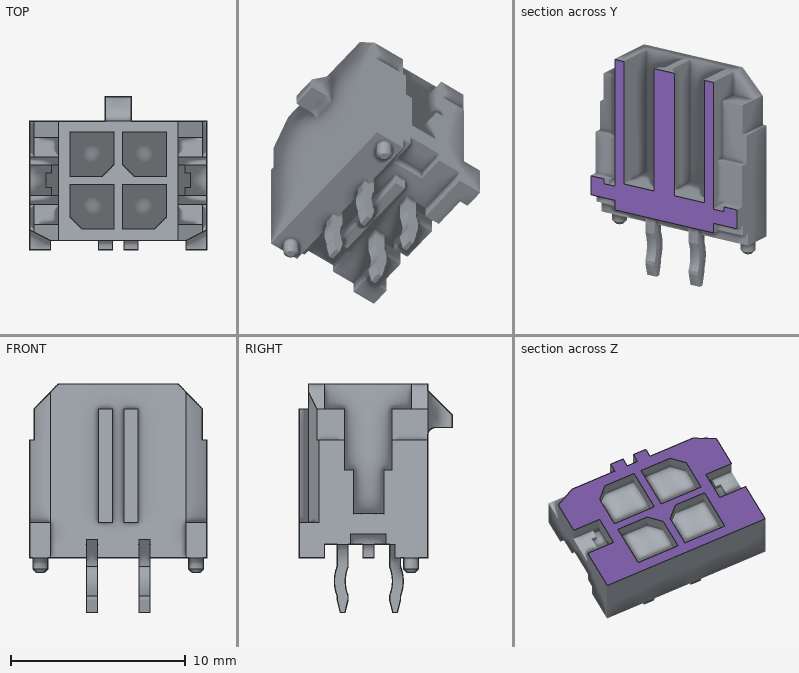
import cadquery as cq
import math


core_size = 6.84
height = 9.95
overall_width = 10.15
shoulder_width = 9.62
shoulder_height = 6.75
ear_height = 8.52
ear_bevel_depth = 0.935
half_core = core_size / 2
half_width = overall_width / 2
half_shoulder = shoulder_width / 2

bevel_start_x = 3.87
bevel_depth = 0.62
foot_height = 2.02
front_reach = 0.53

key_rib_inner = 0.32
key_rib_width = 0.82

latch_width = 1.49
latch_reach = 1.40
latch_tip_top = 8.17
latch_underside = 7.44
latch_root_radius = 0.42

pitch = 3.0
cavity_shift = 0.02
cavity_size = 2.53
cavity_bevel = 0.68
cavity_floor = 2.5

slot_half_width = 1.365
slot_ledge = 5.03
slot_lower_width = 1.74
slot_shift = 0.04
slot_floor = 2.525
pocket_depth = 0.29
pocket_reach = 0.40
pocket_tab_reach = 0.72
pocket_tab_width = 0.82

channel_back = 1.536
channel_front = -2.483
channel_height = 0.764
recess_half_width = 1.015
recess_height = 1.346
rib_length = 5.5
rib_width = 0.64
rib_shift = 0.02

leg_width = 0.65
leg_thickness = 0.635
leg_top = 1.03
leg_shift = 0.04
bow_top = -0.50
bow_bottom = -2.18
bow_height = 0.16
taper_top = -2.40
tip_z = -3.14
tip_thickness = 0.27

peg_x = 4.455
peg_y = 2.456
peg_radius = 0.43
peg_length = 0.85
peg_chamfer = 0.21


def box(x_range, y_range, z_range):
    """Box between the given pairs of limits."""
    (x0, x1), (y0, y1), (z0, z1) = x_range, y_range, z_range
    return cq.Workplane("XY").box(x1 - x0, y1 - y0, z1 - z0, centered=False).translate((x0, y0, z0))


def centred(middle, width):
    """Limits of a span of the given width about its middle."""
    return (middle - width / 2, middle + width / 2)


def both_sides(shape):
    """The +X shape together with its mirror image on -X."""
    return shape.union(shape.mirror("YZ"))


def make_housing():
    """Stepped outline with gusset slopes at the top and bevelled front corners."""
    outline = [
        (half_width, 0),
        (half_width, shoulder_height),
        (half_shoulder, shoulder_height),
        (half_shoulder, ear_height),
        (half_core, height),
    ]
    mirrored = [(-x, z) for x, z in reversed(outline)]
    housing = cq.Workplane("XZ").polyline(outline + mirrored).close().extrude(half_core, both=True)

    bevel = (
        cq.Workplane("XY")
        .moveTo(bevel_start_x, -half_core)
        .lineTo(half_width, -half_core)
        .lineTo(half_width, bevel_depth - half_core)
        .close()
        .extrude(height)
    )
    return housing.cut(both_sides(bevel))


def make_side_slot():
    """Everything removed from the outside of the +X side wall."""
    outside = (half_core, half_width)
    gusset_inner = half_core - ear_bevel_depth
    slot = box(outside, (-gusset_inner, gusset_inner), (ear_height, height))
    slot = slot.union(box(outside, (-slot_half_width, slot_half_width), (slot_ledge, height)))
    slot = slot.union(box(outside, centred(slot_shift, slot_lower_width), (slot_floor, height)))

    pocket_z = (slot_floor - pocket_depth, slot_floor)
    pocket_x = (half_core, half_core + pocket_reach)
    tab_x = (half_core, half_core + pocket_tab_reach)
    slot = slot.union(box(pocket_x, centred(slot_shift, slot_lower_width), pocket_z))
    return slot.union(box(tab_x, centred(slot_shift, pocket_tab_width), pocket_z))


def make_foot():
    """Square corner foot in front of the +X side wall."""
    foot_y = (-half_core - front_reach, bevel_depth - half_core)
    return box((bevel_start_x, half_width), foot_y, (0, foot_height))


def make_key_rib():
    """Key rib on the +X half of the front face."""
    rib_x = (key_rib_inner, key_rib_inner + key_rib_width)
    return box(rib_x, (-half_core - front_reach, -half_core), (foot_height, ear_height))


def make_latch():
    """Latch ramp with a 45 degree top and a filleted root underneath."""
    tip_y = half_core + latch_reach
    fillet_mid = latch_root_radius * (1 - math.sqrt(0.5))
    return (
        cq.Workplane("YZ")
        .moveTo(half_core, latch_tip_top + latch_reach)
        .lineTo(tip_y, latch_tip_top)
        .lineTo(tip_y, latch_underside)
        .lineTo(half_core + latch_root_radius, latch_underside)
        .threePointArc(
            (half_core + fillet_mid, latch_underside - fillet_mid),
            (half_core, latch_underside - latch_root_radius),
        )
        .close()
        .extrude(latch_width / 2, both=True)
    )


def make_cavity(side, row):
    """Contact cavity with one bevelled front corner: inner in the back row, outer in the front row."""
    middle_x = side * pitch / 2
    middle_y = row * pitch / 2 + cavity_shift
    cavity = box(centred(middle_x, cavity_size), centred(middle_y, cavity_size), (cavity_floor, height))
    corner = (
        middle_x - side * row * cavity_size / 2,
        middle_y - cavity_size / 2,
        (cavity_floor + height) / 2,
    )
    return cavity.edges(cq.selectors.NearestToPointSelector(corner)).chamfer(cavity_bevel)


def make_underside_cuts():
    """Cross channel that leaves a middle rib, end recesses and leg notches in the front wall."""
    channel = box((-half_width, half_width), (channel_front, channel_back), (0, channel_height))
    rib = box(centred(0, rib_length), centred(rib_shift, rib_width), (0, channel_height))
    recess = box((half_core, half_width), (-recess_half_width, recess_half_width), (0, recess_height))
    notch_end = leg_shift - pitch / 2 - leg_thickness / 2
    notch = box(centred(pitch / 2, leg_width), (-half_core, notch_end), (0, leg_top))
    return channel.cut(rib).union(both_sides(recess)).union(both_sides(notch))


def make_leg(side, row):
    """Board leg that bows away from the middle and tapers to a blunt tip."""
    half = leg_thickness / 2
    half_tip = tip_thickness / 2
    bow = row * bow_height
    bow_middle = (bow_top + bow_bottom) / 2
    leg = (
        cq.Workplane("YZ")
        .moveTo(-half, leg_top)
        .lineTo(-half, bow_top)
        .threePointArc((bow - half, bow_middle), (-half, bow_bottom))
        .lineTo(-half, taper_top)
        .lineTo(-half_tip, tip_z)
        .lineTo(half_tip, tip_z)
        .lineTo(half, taper_top)
        .lineTo(half, bow_bottom)
        .threePointArc((half + bow, bow_middle), (half, bow_top))
        .lineTo(half, leg_top)
        .close()
        .extrude(leg_width / 2, both=True)
    )
    return leg.translate((side * pitch / 2, row * pitch / 2 + leg_shift, 0))


def make_peg():
    """Locating peg under the +X side wall."""
    peg = cq.Workplane("XY").center(peg_x, peg_y).circle(peg_radius).extrude(-peg_length)
    return peg.faces("<Z").chamfer(peg_chamfer)


result = make_housing().cut(both_sides(make_side_slot()))
result = result.union(both_sides(make_foot())).union(both_sides(make_key_rib())).union(make_latch())
result = result.cut(make_underside_cuts()).union(both_sides(make_peg()))

for side in (-1, 1):
    for row in (-1, 1):
        result = result.cut(make_cavity(side, row)).union(make_leg(side, row))